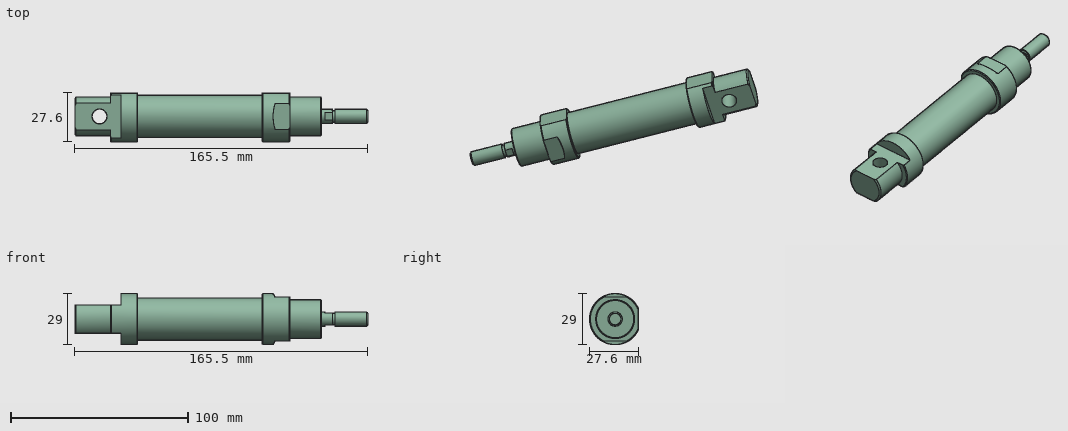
import cadquery as cq
import math


eye_x = 13.9
shoulder_x = 20.0
clevis_flat_end = 26.0
rear_cap_end = 35.4
front_cap_start = 105.8
collar_end = 121.3
nose_end = 139.2
wrench_flat_start = 141.2
relief_start = 145.3
relief_end = 146.8
rod_end = 165.5

collar_diameter = 29.0
barrel_diameter = 24.0
clevis_diameter = 22.0
nose_diameter = clevis_diameter
rod_diameter = 8.1
relief_diameter = 6.6
eye_diameter = 8.3

collar_width = 27.6
side_flat_y = collar_width - collar_diameter / 2
clevis_thickness = 16.0
collar_across_flats = 25.0
rod_across_flats = 7.0
flat_end_center = 111.9
flat_end_bow = 1.2

edge_chamfer = 0.5
rod_chamfer = 0.8
clevis_chamfer_length = 0.7
clevis_chamfer_depth = 1.0

tool_size = 2 * collar_diameter


def cylinder(start, end, diameter):
    """Solid cylinder along X between two stations."""
    return cq.Workplane("YZ", origin=(start, 0, 0)).circle(diameter / 2).extrude(end - start)


def collar(start, end):
    """Cap collar with chamfered rims and a flat along its +Y side."""
    ring = cylinder(start, end, collar_diameter).faces("<X or >X").chamfer(edge_chamfer)
    beyond_flat = cq.Workplane("XY").box(
        end - start, tool_size, tool_size, centered=(False, False, True)
    ).translate((start, side_flat_y, 0))
    return ring.cut(beyond_flat)


def cut_top_and_bottom(body, profile, thickness):
    """Remove the XY profile above and below a central slab of the given thickness."""
    above = profile.extrude(tool_size).translate((0, 0, thickness / 2))
    return body.cut(above).cut(above.mirror("XY"))


def cut_straight_flats(body, start, end, thickness):
    """Mill a square-ended pair of flats facing +Z and -Z."""
    length = end - start
    profile = cq.Workplane("XY").center(start + length / 2, 0).rect(length, tool_size)
    return cut_top_and_bottom(body, profile, thickness)


def make_rear_cap():
    tongue = cylinder(0, shoulder_x, clevis_diameter)
    tongue = tongue.faces("<X").chamfer(clevis_chamfer_length, clevis_chamfer_depth)
    cap = tongue.union(collar(shoulder_x, rear_cap_end))
    cap = cut_straight_flats(cap, 0, clevis_flat_end, clevis_thickness)
    eye = cq.Workplane("XY").center(eye_x, 0).circle(eye_diameter / 2)
    return cap.cut(eye.extrude(clevis_thickness, both=True))


def make_barrel():
    return cylinder(rear_cap_end, front_cap_start, barrel_diameter)


def make_front_cap():
    half_width = math.sqrt(collar_diameter**2 - collar_across_flats**2) / 2
    corner_x = flat_end_center + flat_end_bow
    flat_profile = (
        cq.Workplane("XY")
        .moveTo(collar_end, -half_width)
        .lineTo(corner_x, -half_width)
        .threePointArc((flat_end_center, 0), (corner_x, half_width))
        .lineTo(collar_end, half_width)
        .close()
    )
    flanged = cut_top_and_bottom(collar(front_cap_start, collar_end), flat_profile, collar_across_flats)
    nose = cylinder(collar_end, nose_end, nose_diameter).faces(">X").chamfer(edge_chamfer)
    return flanged.union(nose)


def make_rod():
    shank = cylinder(nose_end, relief_start, rod_diameter)
    shank = cut_straight_flats(shank, wrench_flat_start, relief_start, rod_across_flats)
    relief = cylinder(relief_start, relief_end, relief_diameter)
    stud = cylinder(relief_end, rod_end, rod_diameter).faces(">X").chamfer(rod_chamfer)
    return shank.union(relief).union(stud)


rear_cap = make_rear_cap()
barrel = make_barrel()
front_cap = make_front_cap()
rod = make_rod()

result = cq.Compound.makeCompound([rear_cap.val(), barrel.val(), front_cap.val(), rod.val()])